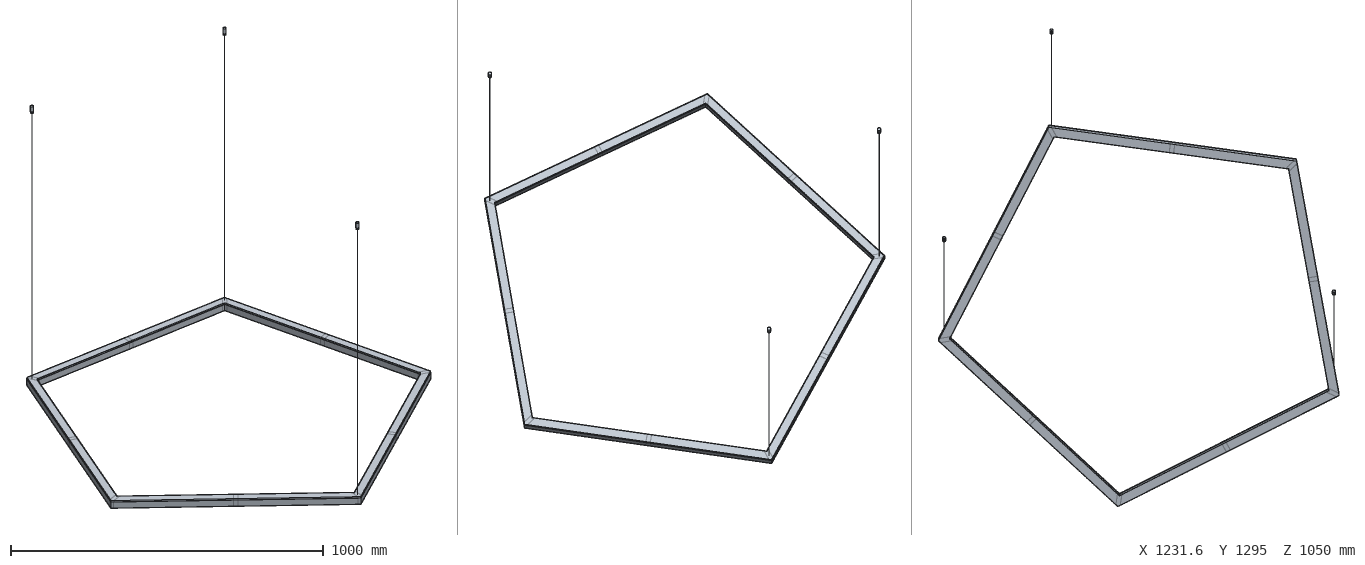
import cadquery as cq
import math

side_count = 5
overall_width = 1295.0
overall_height = 1050.0
frame_width = 30.0
frame_height = 28.0
cover_thickness = 5.0
cover_inset = 1.0
joint_width = 14.0
wire_diameter = 1.2
gripper_diameter = 11.0
gripper_length = 20.0
collar_diameter = 9.0
collar_length = 5.0
wire_corners = (0, 2, 3)

corner_angle = 360.0 / side_count
half_corner = math.radians(corner_angle / 2)
outer_apothem = overall_width / 2 / math.sin(math.radians(corner_angle)) * math.cos(half_corner)
inner_apothem = outer_apothem - frame_width
wire_radius = (outer_apothem + inner_apothem) / 2 / math.cos(half_corner)
cover_bottom = frame_height - cover_thickness
gripper_bottom = overall_height - gripper_length
collar_bottom = gripper_bottom - collar_length


def pentagon(apothem, bottom, top):
    """Pentagonal prism with one corner on +X."""
    radius = apothem / math.cos(half_corner)
    angles = [math.radians(corner_angle * i) for i in range(side_count)]
    corners = [(radius * math.cos(a), radius * math.sin(a)) for a in angles]
    return cq.Workplane("XY").workplane(offset=bottom).polyline(corners).close().extrude(top - bottom)


def ring(inset, bottom, top):
    """Pentagonal ring whose inner and outer walls are set in from the full section."""
    outer = pentagon(outer_apothem - inset, bottom, top)
    return outer.cut(pentagon(inner_apothem + inset, bottom, top))


def joint_zones():
    """Radial slabs that mark the joints at every corner and at the middle of every side."""
    outer_radius = outer_apothem / math.cos(half_corner)
    slab_start = inner_apothem - frame_width
    slab_length = outer_radius + frame_width - slab_start
    slab = cq.Workplane("XY").box(slab_length, joint_width, frame_height, centered=(False, True, False))
    slab = slab.translate((slab_start, 0, 0))
    zones = cq.Workplane("XY")
    for i in range(2 * side_count):
        zones = zones.add(slab.rotate((0, 0, 0), (0, 0, 1), i * corner_angle / 2))
    return zones.combine()


def with_joints(plain_ring):
    """Fuse bars and joint pieces into one solid, keeping the flush seams between them."""
    zones = joint_zones()
    bars = plain_ring.cut(zones)
    joints = plain_ring.intersect(zones)
    return bars.union(joints, clean=False)


def make_housing():
    """Lower part of the frame, full section width."""
    return with_joints(ring(0, 0, cover_bottom))


def make_cover():
    """Slightly narrower cover that closes the housing from above."""
    return with_joints(ring(cover_inset, cover_bottom, frame_height))


def at_corner(body, corner):
    """Move a body from the Z axis to a corner of the frame."""
    return body.translate((wire_radius, 0, 0)).rotate((0, 0, 0), (0, 0, 1), corner * corner_angle)


def make_wire(corner):
    """Suspension wire from the cover up to the gripper."""
    wire = cq.Workplane("XY").workplane(offset=frame_height)
    wire = wire.circle(wire_diameter / 2).extrude(collar_bottom - frame_height)
    return at_corner(wire, corner)


def make_gripper(corner):
    """Ceiling gripper: a cylinder with a narrower collar below it."""
    collar = cq.Workplane("XY").workplane(offset=collar_bottom)
    collar = collar.circle(collar_diameter / 2).extrude(collar_length)
    barrel = cq.Workplane("XY").workplane(offset=gripper_bottom)
    barrel = barrel.circle(gripper_diameter / 2).extrude(gripper_length)
    return at_corner(collar.union(barrel), corner)


housing = make_housing()
cover = make_cover()
wires = [make_wire(corner).solids().val() for corner in wire_corners]
grippers = [make_gripper(corner).solids().val() for corner in wire_corners]

result = cq.Compound.makeCompound([housing.solids().val(), cover.solids().val(), *wires, *grippers])